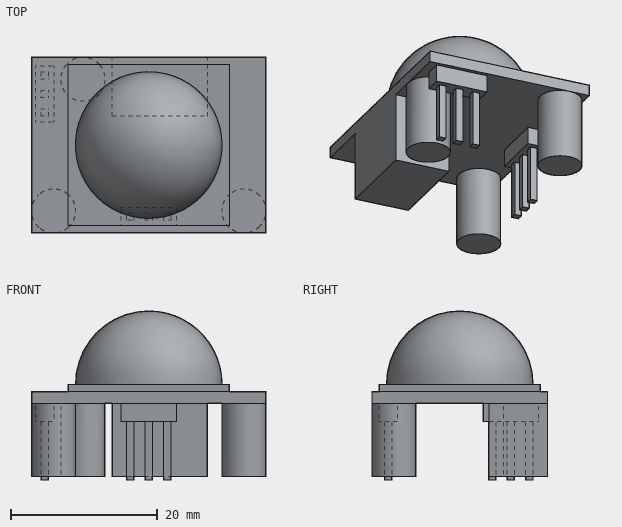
import cadquery as cq

board_length = 32.0
board_width = 24.0
board_thickness = 1.6

plate_side = 22.0
plate_thickness = 1.0
dome_radius = 10.0

hanging_height = 10.0
cylinder_diameter = 6.0
shifted_cylinder_x = -9.0
block_length = 13.0
block_width = 8.0
block_center_x = 1.5

pin_count = 3
pin_pitch = 2.53
pin_side = 1.0
pin_length = 8.0
header_length = pin_count * pin_pitch
header_depth = 2.5
header_height = 2.5
front_header_y = -9.75
left_header_x = -14.2
left_header_y = 6.98


def box_above(length, width, height, bottom_z):
    """Box centred on the Z axis, standing on bottom_z."""
    return cq.Workplane("XY", origin=(0, 0, bottom_z)).rect(length, width).extrude(height)


def box_below(length, width, height, top_z=0):
    """Box centred on the Z axis, hanging from top_z."""
    return cq.Workplane("XY", origin=(0, 0, top_z)).rect(length, width).extrude(-height)


def make_dome(base_z):
    """Solid hemisphere with its flat face at base_z."""
    profile = (
        cq.Workplane("XZ")
        .lineTo(dome_radius, 0)
        .radiusArc((0, dome_radius), -dome_radius)
        .close()
    )
    return profile.revolve(360, (0, 0), (0, 1)).translate((0, 0, base_z))


def make_header():
    """Header along X with its row of square pins."""
    header = box_below(header_length, header_depth, header_height)
    for index in range(pin_count):
        pin_x = (index - (pin_count - 1) / 2) * pin_pitch
        pin = box_below(pin_side, pin_side, pin_length, -header_height)
        header = header.union(pin.translate((pin_x, 0, 0)))
    return header


board = box_above(board_length, board_width, board_thickness, 0)
plate = box_above(plate_side, plate_side, plate_thickness, board_thickness)
dome = make_dome(board_thickness + plate_thickness)
result = board.union(plate).union(dome)

cylinder_radius = cylinder_diameter / 2
corner_x = board_length / 2 - cylinder_radius
edge_y = board_width / 2 - cylinder_radius
cylinder_centers = [
    (-corner_x, -edge_y),
    (corner_x, -edge_y),
    (shifted_cylinder_x, edge_y),
]
cylinders = (
    cq.Workplane("XY").pushPoints(cylinder_centers).circle(cylinder_radius).extrude(-hanging_height)
)
result = result.union(cylinders)

block_center_y = (board_width - block_width) / 2
block = box_below(block_length, block_width, hanging_height)
result = result.union(block.translate((block_center_x, block_center_y, 0)))

front_header = make_header().translate((0, front_header_y, 0))
left_header = make_header().rotate((0, 0, 0), (0, 0, 1), 90).translate((left_header_x, left_header_y, 0))
result = result.union(front_header).union(left_header)